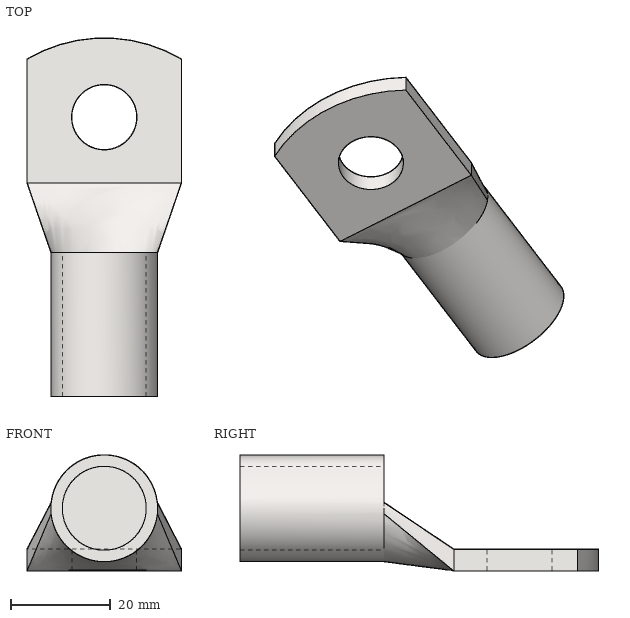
import cadquery as cq
import math

total_length = 71.9
palm_width = 31.0
total_height = 23.3

palm_thickness = 4.4
palm_length = 29.05
tip_rise = 4.25
hole_diameter = 13.0
hole_to_tip = 15.9

barrel_diameter = 21.4
bore_diameter = 16.8
barrel_length = 28.9
side_strip_half_height = 1.15

crown_points = [(3.6, 7.1), (0.0, 11.9), (-3.6, 18.35)]

mouth_y = -total_length / 2
tip_y = total_length / 2
barrel_end_y = mouth_y + barrel_length
palm_start_y = tip_y - palm_length
barrel_radius = barrel_diameter / 2
axis_z = total_height - barrel_radius
half_width = palm_width / 2


def make_palm():
    """Flat plate with an arched tip and a bolt hole."""
    corner_y = tip_y - tip_rise
    return (
        cq.Workplane("XY")
        .moveTo(-half_width, palm_start_y)
        .lineTo(half_width, palm_start_y)
        .lineTo(half_width, corner_y)
        .threePointArc((0, tip_y), (-half_width, corner_y))
        .close()
        .extrude(palm_thickness)
        .cut(
            cq.Workplane("XY")
            .center(0, tip_y - hole_to_tip)
            .circle(hole_diameter / 2)
            .extrude(palm_thickness)
        )
    )


def make_barrel():
    """Tube open at the mouth and closed by the solid transition."""
    mouth_plane = cq.Plane(origin=(0, mouth_y, axis_z), xDir=(1, 0, 0), normal=(0, 1, 0))
    return (
        cq.Workplane(mouth_plane)
        .circle(barrel_radius)
        .circle(bore_diameter / 2)
        .extrude(barrel_length)
    )


def barrel_point(angle):
    """Point on the barrel's inner end circle, with the angle measured from +X."""
    return cq.Vector(
        barrel_radius * math.cos(angle),
        barrel_end_y,
        axis_z + barrel_radius * math.sin(angle),
    )


def make_crown_line():
    """Curve along the top centre of the neck, from the palm up to the barrel."""
    yz_points = [(palm_start_y, palm_thickness), *crown_points, (barrel_end_y, total_height)]
    return cq.Edge.makeSpline([cq.Vector(0, y, z) for y, z in yz_points])


def make_transition():
    """Solid neck blending the rectangular palm section into the round barrel."""
    strip_angle = math.asin(side_strip_half_height / barrel_radius)

    palm_corners = [
        cq.Vector(half_width, palm_start_y, palm_thickness),
        cq.Vector(-half_width, palm_start_y, palm_thickness),
        cq.Vector(-half_width, palm_start_y, 0),
        cq.Vector(half_width, palm_start_y, 0),
    ]
    corner_angles = [
        strip_angle,
        math.pi - strip_angle,
        math.pi + strip_angle,
        2 * math.pi - strip_angle,
    ]
    arc_middle_angles = [math.pi / 2, math.pi, 3 * math.pi / 2, 0]
    barrel_corners = [barrel_point(angle) for angle in corner_angles]

    palm_edges = []
    barrel_arcs = []
    creases = []
    for i in range(4):
        following = (i + 1) % 4
        arc_middle = barrel_point(arc_middle_angles[i])
        palm_edges.append(cq.Edge.makeLine(palm_corners[i], palm_corners[following]))
        barrel_arcs.append(
            cq.Edge.makeThreePointArc(barrel_corners[i], arc_middle, barrel_corners[following])
        )
        creases.append(cq.Edge.makeLine(palm_corners[i], barrel_corners[i]))

    faces = [
        cq.Face.makeFromWires(cq.Wire.assembleEdges(palm_edges)),
        cq.Face.makeFromWires(cq.Wire.assembleEdges(barrel_arcs)),
    ]
    top_boundary = [palm_edges[0], creases[1], barrel_arcs[0], creases[0]]
    crown = make_crown_line()
    faces.append(cq.Face.makeNSidedSurface(top_boundary, [crown], degree=2))
    for i in range(1, 4):
        faces.append(cq.Face.makeRuledSurface(palm_edges[i], barrel_arcs[i]))
    return cq.Workplane(obj=cq.Solid.makeSolid(cq.Shell.makeShell(faces)).fix())


result = make_palm().union(make_transition()).union(make_barrel())